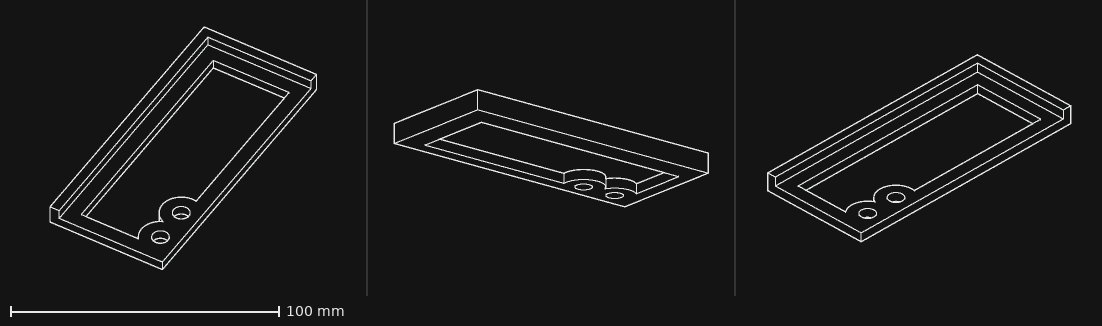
import cadquery as cq

length = 111.5
width = 49.0
height = 8.0

base_thickness = height / 2
lip_width = 4.0
rail_width = 6.0
right_rail_width = 5.9

hole_diameter = 6.6
eye_wall = 5.0
eye_radius = hole_diameter / 2 + eye_wall
eye_edge_distance = 7.5
first_eye_y = 11.0
eye_spacing = 15.0
eye_x = width - eye_edge_distance
eye_centers = [(eye_x, first_eye_y + i * eye_spacing) for i in range(2)]


def box_between(x_min, x_max, y_min, y_max, z_height):
    """Box standing on Z = 0 between the given X and Y limits."""
    return (
        cq.Workplane("XY")
        .box(x_max - x_min, y_max - y_min, z_height, centered=False)
        .translate((x_min, y_min, 0))
    )


block = box_between(0, width, 0, length, height)
step = box_between(lip_width, width, 0, length - lip_width, height)
body = block.cut(step.translate((0, 0, base_thickness)))

window = box_between(
    lip_width + rail_width,
    width - right_rail_width,
    rail_width,
    length - lip_width - rail_width,
    height,
)
body = body.cut(window)

eyes = cq.Workplane("XY").pushPoints(eye_centers).circle(eye_radius).extrude(base_thickness)
eyes = eyes.intersect(block)
holes = cq.Workplane("XY").pushPoints(eye_centers).circle(hole_diameter / 2).extrude(height)

result = body.union(eyes).cut(holes)